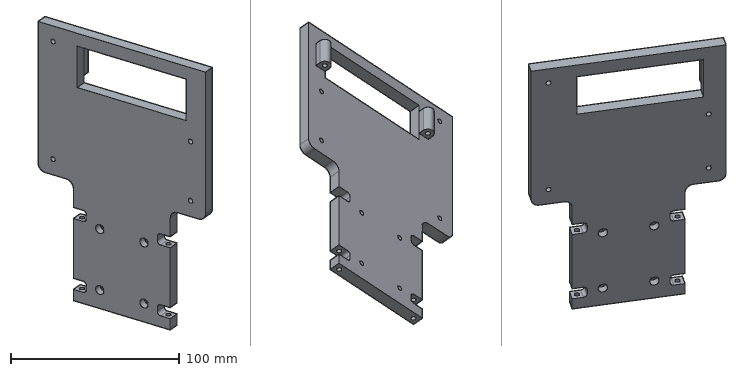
import cadquery as cq

height = 180.0
panel_width = 118.8
neck_width = 68.8
thickness = 7.5
shoulder_z = 80.1
shoulder_radius = 5.0

window_center_x = 7.0
window_width = 77.2
window_bottom = 143.6
window_top = 171.4

screw_diameter = 3.0
panel_hole_x = 48.8
panel_hole_low_z = 90.7
panel_hole_right_z = 130.5
panel_hole_left_z = 169.5

bore_x = 15.7
bore_heights = (12.5, 53.3)
bore_diameter = 5.8
bore_depth = 5.0

notch_depth = 9.2
notch_height = 7.4
notch_radius = 2.3
notch_bottoms = (7.5, 55.0)
edge_hole_inset = thickness / 2

total_depth = 15.0
lug_radius = 3.8
lug_spacing = 85.0
lug_height = 17.8
lug_bottom = (window_bottom + window_top - lug_height) / 2


def front_box(width, box_height, center_x, bottom_z):
    """Block through the plate thickness, placed by its bottom centre."""
    block = cq.Workplane("XY").box(width, thickness, box_height, centered=(True, False, False))
    return block.translate((center_x, 0, bottom_z))


def front_cylinder(diameter, depth, x, z):
    """Cylinder running back from the front face."""
    return cq.Workplane(cq.Solid.makeCylinder(diameter / 2, depth, cq.Vector(x, 0, z), cq.Vector(0, 1, 0)))


def vertical_cylinder(diameter, length, x, y, bottom_z):
    """Cylinder running upward from the given height."""
    return cq.Workplane(cq.Solid.makeCylinder(diameter / 2, length, cq.Vector(x, y, bottom_z)))


def make_plate():
    """Panel and neck with rounded outer and inner shoulder corners."""
    panel = front_box(panel_width, height - shoulder_z, 0, shoulder_z)
    neck = front_box(neck_width, shoulder_z, 0, 0)
    plate = panel.union(neck)
    for side in (-1, 1):
        for width in (panel_width, neck_width):
            corner = (side * width / 2, thickness / 2, shoulder_z)
            plate = plate.edges(cq.NearestToPointSelector(corner)).fillet(shoulder_radius)
    window = front_box(window_width, window_top - window_bottom, window_center_x, window_bottom)
    return plate.cut(window)


def make_notch(side, bottom_z):
    """Notch open to one side of the neck, with rounded inner corners."""
    edge_x = side * neck_width / 2
    notch = front_box(2 * notch_depth, notch_height, edge_x, bottom_z)
    inner_edges = "|Y and >X" if side < 0 else "|Y and <X"
    return notch.edges(inner_edges).fillet(notch_radius)


def make_lug(center_x):
    """Round-backed lug with a vertical hole through the centre of its round end."""
    axis_y = total_depth - lug_radius
    base = cq.Workplane("XY").box(
        2 * lug_radius, axis_y - thickness, lug_height, centered=(True, False, False)
    )
    base = base.translate((center_x, thickness, lug_bottom))
    lug = base.union(vertical_cylinder(2 * lug_radius, lug_height, center_x, axis_y, lug_bottom))
    lug = lug.cut(front_box(2 * lug_radius, lug_height, center_x, lug_bottom))
    return lug.cut(vertical_cylinder(screw_diameter, lug_height, center_x, axis_y, lug_bottom))


result = make_plate()

panel_holes = (
    (-panel_hole_x, panel_hole_low_z),
    (panel_hole_x, panel_hole_low_z),
    (panel_hole_x, panel_hole_right_z),
    (-panel_hole_x, panel_hole_left_z),
)
for x, z in panel_holes:
    result = result.cut(front_cylinder(screw_diameter, thickness, x, z))

for side in (-1, 1):
    for z in bore_heights:
        result = result.cut(front_cylinder(bore_diameter, bore_depth, side * bore_x, z))
        result = result.cut(front_cylinder(screw_diameter, thickness, side * bore_x, z))

    for bottom_z in notch_bottoms:
        result = result.cut(make_notch(side, bottom_z))
    edge_hole_x = side * (neck_width / 2 - edge_hole_inset)
    edge_hole_length = max(notch_bottoms)
    result = result.cut(
        vertical_cylinder(screw_diameter, edge_hole_length, edge_hole_x, thickness / 2, 0)
    )

    result = result.union(make_lug(window_center_x + side * lug_spacing / 2))